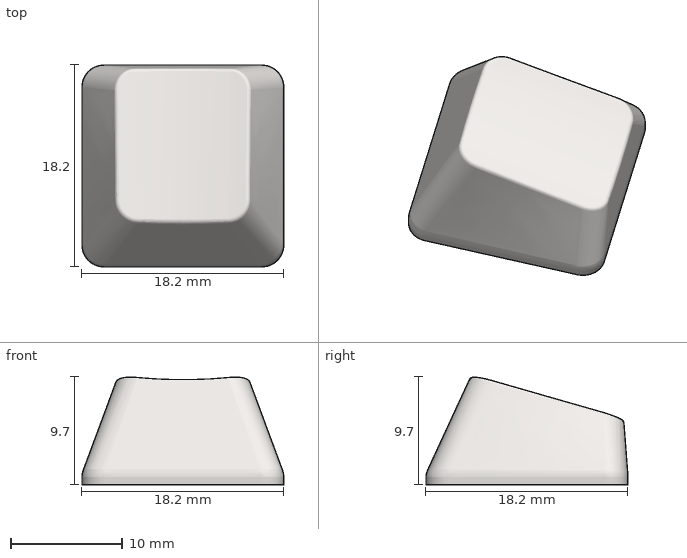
import cadquery as cq
import math


base_size = 18.16
corner_radius = 2.0
bend_height = 1.02
bend_reach = 0.33

tilt_angle = 16.1
top_width = 11.75
top_front_y = -4.84
top_back_y = 8.68
top_center_z = 8.8

dish_radius = 40.0
dish_bottom_z = 8.07
dish_length = 3 * base_size
rim_radius = 0.35


def level_section(height):
    """Full-size skirt section as (width, front y, back y, front z, back z)."""
    half = base_size / 2
    return (base_size, -half, half, height, height)


def top_section():
    """Tilted section at the upper end of the walls, in the same form."""
    rise = math.tan(math.radians(tilt_angle))
    front_z = top_center_z - rise * top_front_y
    back_z = top_center_z - rise * top_back_y
    return (top_width, top_front_y, top_back_y, front_z, back_z)


def between(first, second, fraction):
    """Section part of the way from the first section to the second."""
    return tuple(a + fraction * (b - a) for a, b in zip(first, second))


def outline(section):
    """Rounded rectangle of a section, on a plane leaning about the X direction."""
    width, front_y, back_y, front_z, back_z = section
    depth = back_y - front_y
    rise = front_z - back_z
    plane = cq.Plane(
        origin=(0, (front_y + back_y) / 2, (front_z + back_z) / 2),
        xDir=(1, 0, 0),
        normal=(0, rise, depth),
    )
    rectangle = cq.Sketch().rect(width, math.hypot(depth, rise))
    return rectangle.vertices().fillet(corner_radius).reset().moved(plane.location)


def loft(sections, ruled):
    """Solid through the sections, with straight walls if ruled and smooth ones otherwise."""
    outlines = [outline(section) for section in sections]
    return cq.Workplane("XY").placeSketch(*outlines).loft(ruled=ruled)


def make_body():
    """Upright skirt, rounded bend and tapered walls stacked on one another."""
    foot = level_section(0)
    bend_start = level_section(bend_height - bend_reach)
    bend = level_section(bend_height)
    top = top_section()
    bend_end = between(bend, top, bend_reach / (top_center_z - bend_height))
    bend_middle = between(between(bend_start, bend, 0.5), between(bend, bend_end, 0.5), 0.5)

    skirt = loft([foot, bend_start], ruled=True)
    rounded_bend = loft([bend_start, bend_middle, bend_end], ruled=False)
    walls = loft([bend_end, top], ruled=True)
    return skirt.union(rounded_bend).union(walls)


def make_dish():
    """Cylinder lying along the tilted top, its lowest line on the dish bottom."""
    tilt = math.radians(tilt_angle)
    across = cq.Vector(0, math.sin(tilt), math.cos(tilt))
    along = cq.Vector(0, math.cos(tilt), -math.sin(tilt))
    start = cq.Vector(0, 0, dish_bottom_z) + across * dish_radius - along * (dish_length / 2)
    return cq.Workplane(cq.Solid.makeCylinder(dish_radius, dish_length, start, along))


def round_rim(body):
    """Fillet the edge between the dish and the walls."""
    return body.faces("%CYLINDER").faces(">Z").edges().fillet(rim_radius)


result = round_rim(make_body().cut(make_dish()))